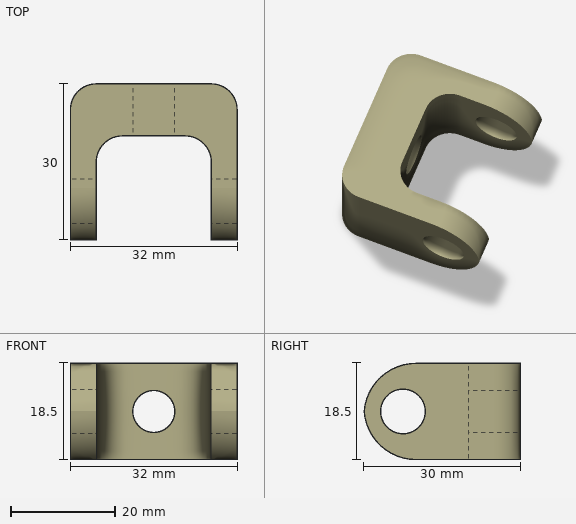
import cadquery as cq
import math

width = 32.0
depth = 30.0
height = 18.5

arm_thickness = 5.0
web_thickness = 10.0
corner_radius = 5.0

tip_radius = 10.0
arc_center_offset = tip_radius - height / 2
tip_length = math.sqrt(tip_radius**2 - arc_center_offset**2)

web_hole_diameter = 8.0
pin_hole_diameter = 8.5
pin_to_tip = 7.45

slot_width = width - 2 * arm_thickness
slot_depth = depth - web_thickness


def upper_arc_point(angle):
    """Point (y, z) on the upper tip arc, the angle in degrees up from the -Y direction."""
    turn = math.radians(angle)
    return (
        tip_length - tip_radius * math.cos(turn),
        tip_radius * math.sin(turn) - arc_center_offset,
    )


def rounded_block():
    """Full-width block with rounded back corners and a two-arc front end."""
    middle_y, middle_z = upper_arc_point(45)
    return (
        cq.Workplane("YZ", origin=(-width / 2, 0, 0))
        .moveTo(depth, -height / 2)
        .lineTo(depth, height / 2)
        .lineTo(tip_length, height / 2)
        .threePointArc((middle_y, middle_z), (0, 0))
        .threePointArc((middle_y, -middle_z), (tip_length, -height / 2))
        .close()
        .extrude(width)
        .edges("|Z and >Y")
        .fillet(corner_radius)
    )


def slot():
    """Opening between the arms, with rounded inner corners."""
    return (
        cq.Workplane("XY")
        .box(slot_width, slot_depth, height, centered=(True, False, True))
        .edges("|Z and >Y")
        .fillet(corner_radius)
    )


def web_hole():
    """Hole along Y through the middle of the web."""
    return cq.Workplane("XZ").circle(web_hole_diameter / 2).extrude(-depth)


def pin_holes():
    """Aligned holes along X through both arms."""
    return (
        cq.Workplane("YZ", origin=(-width / 2, pin_to_tip, 0))
        .circle(pin_hole_diameter / 2)
        .extrude(width)
    )


result = rounded_block().cut(slot()).cut(web_hole()).cut(pin_holes())